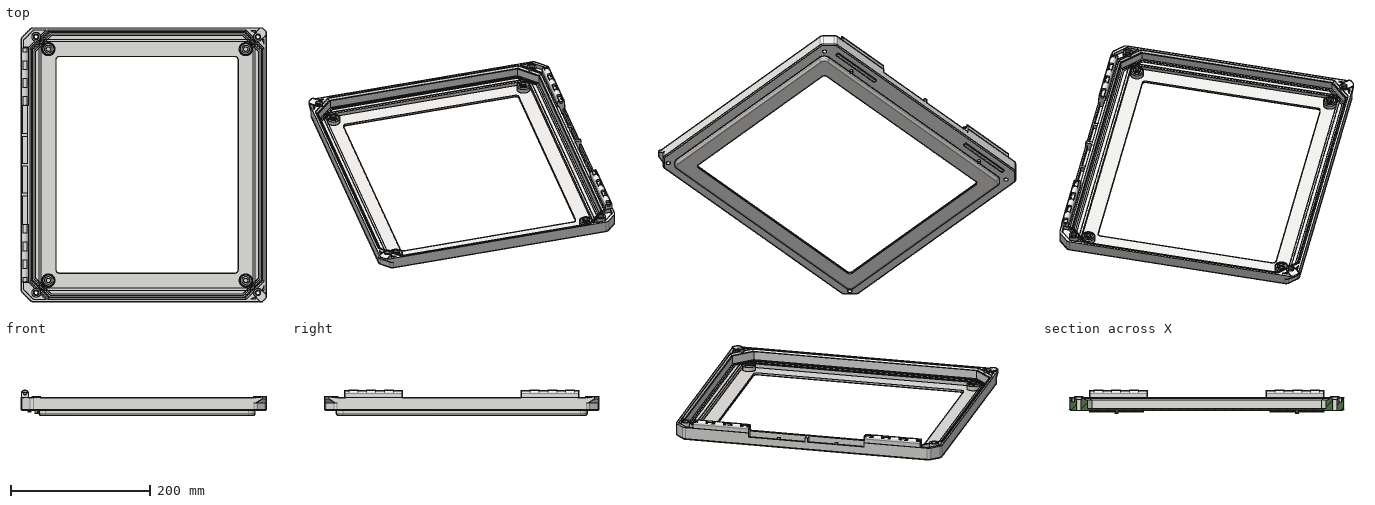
import cadquery as cq
import math

length_x = 352.0
length_y = 393.5
total_height = 36.5
rim_top = 25.5
rim_bottom = 7.0
boss_top = 27.0

hinge_strip = 9.5
left_x = -length_x / 2
right_x = length_x / 2
frame_left = left_x + hinge_strip
frame_x = (frame_left + right_x) / 2
frame_width = right_x - frame_left

corner_cut = 15.0
corner_radius = 6.5
bottom_bevel = 1.5

skirt = 3.0
recess_corner_cut = 26.5
recess_floor = 22.5
recess_bevel = 2.5
wall_setback = 6.5
wall_corner_cut = 25.0
cut_per_offset = 2 - math.sqrt(2)
foot_top = 10.2
foot_step_height = 0.5
foot_step_width = 2.5
foot_steps = 2
ledge_top = foot_top - foot_steps * foot_step_height

pan_width = 310.0
pan_length = 360.5
pan_radius = 9.5
pan_wall = 3.0
pan_fillet = 3.0
pan_step_top = 8.5
panel_top = 3.0
window_width = 261.2
window_length = 310.8
window_radius = 4.7

panel_boss_x = 141.5
panel_boss_y = 166.0
panel_boss_base_diameter = 19.0
panel_boss_base_top = 11.0
panel_boss_base_bevel = 1.5
panel_boss_diameter = 11.0
panel_boss_top = 13.0
panel_boss_hole = 6.3
panel_boss_hole_depth = 4.0

screw_inset_x = 12.0
screw_inset_y = 13.0
screw_x = right_x - screw_inset_x
screw_left_x = frame_x - (screw_x - frame_x)
screw_y = length_y / 2 - screw_inset_y
screw_boss_diameter = 12.5
screw_hole = 6.0
screw_counterbore = 8.0
screw_counterbore_depth = 4.0

pocket_floor = 19.5
pocket_end_y = 168.8
pocket_wall_setback = 1.5

lug_cut = 6.0
lug_flare_bottom = 18.0
lug_flare_top = 24.0
lug_width = 13.5
dimple_depth = 2.0
dimple_near = 3.5
dimple_far = 10.2
dimple_low = 6.0
dimple_high = 9.0

hinge_start = 85.5
hinge_end = 168.0
pin_diameter = 3.45
hinge_width = 10.2
hinge_radius = hinge_width / 2
hinge_inset = 0.5
hinge_left = left_x + hinge_inset
hinge_x = hinge_left + hinge_radius
pin_z = total_height - hinge_radius
notch_width = 5.5
notch_length = 12.5
notch_pitch = 25.5
notch_count = 4
notch_floor = 33.5

trough_floor = 11.8
trough_wall = 2.5
trough_wall_top = 19.3
trough_width = 6.5
rib_thickness = 4.0

strip_x = -166.5
strip_width = 4.7
strip_start = 90.5
strip_bottom = 5.0
peg_x = -154.2
peg_diameter = 4.5
peg_bottom = 3.0
peg_y = (strip_start + hinge_end) / 2


def block(x0, x1, y0, y1, z0, z1):
    size = (x1 - x0, y1 - y0, z1 - z0)
    return cq.Workplane("XY").box(*size, centered=False).translate((x0, y0, z0))


def cylinder(x, y, diameter, z0, z1):
    return cq.Workplane("XY", origin=(x, y, z0)).circle(diameter / 2).extrude(z1 - z0)


def octagon(width, length, cut, z0, z1, x=frame_x):
    prism = cq.Workplane("XY", origin=(x, 0, z0)).rect(width, length).extrude(z1 - z0)
    return prism.edges("|Z").chamfer(cut)


def frame_octagon(setback, cut, z0, z1):
    return octagon(frame_width - 2 * setback, length_y - 2 * setback, cut, z0, z1)


def rounded_plate(width, length, radius, z0, z1):
    plate = cq.Workplane("XY", origin=(frame_x, 0, z0)).rect(width, length).extrude(z1 - z0)
    return plate.edges("|Z").fillet(radius)


def mirrored_y(shape):
    return shape.union(shape.mirror("XZ"))


def make_rim():
    rim = octagon(length_x, length_y, corner_cut, rim_bottom, rim_top, x=0)
    rim = rim.edges("|Z").fillet(corner_radius).faces("<Z").chamfer(bottom_bevel)
    recess = frame_octagon(skirt, recess_corner_cut, recess_floor, rim_top)
    rim = rim.cut(recess.faces("<Z").chamfer(recess_bevel))
    for i in range(foot_steps + 1):
        shift = i * foot_step_width
        floor = foot_top - i * foot_step_height
        cut = wall_corner_cut - cut_per_offset * shift
        rim = rim.cut(frame_octagon(wall_setback + shift, cut, floor, rim_top))
    return rim


def make_pan():
    pan = rounded_plate(pan_width, pan_length, pan_radius, 0, pan_step_top)
    return pan.faces("<Z").edges().fillet(pan_fillet)


def make_pan_recess():
    outer = rounded_plate(pan_width, pan_length, pan_radius, pan_step_top, ledge_top)
    inner = rounded_plate(
        pan_width - 2 * pan_wall, pan_length - 2 * pan_wall, pan_radius - pan_wall, panel_top, ledge_top
    )
    window = rounded_plate(window_width, window_length, window_radius, 0, ledge_top)
    return outer.union(inner).union(window)


def add_panel_bosses(part):
    hole_bottom = panel_boss_top - panel_boss_hole_depth
    for x in (frame_x - panel_boss_x, frame_x + panel_boss_x):
        for y in (-panel_boss_y, panel_boss_y):
            base = cylinder(x, y, panel_boss_base_diameter, panel_top / 2, panel_boss_base_top)
            part = part.union(base.faces(">Z").chamfer(panel_boss_base_bevel))
            part = part.union(cylinder(x, y, panel_boss_diameter, panel_top, panel_boss_top))
            part = part.cut(cylinder(x, y, panel_boss_hole, hole_bottom, panel_boss_top))
    return part


def make_left_pocket():
    inside = octagon(length_x - 2 * skirt, length_y - 2 * skirt, corner_cut, pocket_floor, rim_top, x=0)
    corner = block(left_x, 0, pocket_end_y, length_y / 2, pocket_floor, rim_top)
    wall = frame_octagon(pocket_wall_setback, recess_corner_cut, pocket_floor, rim_top)
    return inside.intersect(corner).cut(wall)


def corner_points(cut):
    inner = corner_cut + corner_radius
    half_y = length_y / 2
    return [
        (right_x - inner, half_y),
        (right_x - cut, half_y),
        (right_x, half_y - cut),
        (right_x, half_y - inner),
    ]


def corner_prism(z0, z1):
    return cq.Workplane("XY", origin=(0, 0, z0)).polyline(corner_points(lug_cut)).close().extrude(z1 - z0)


def make_lug():
    flare = (
        cq.Workplane("XY", origin=(0, 0, lug_flare_bottom))
        .polyline(corner_points(corner_cut)).close()
        .workplane(offset=lug_flare_top - lug_flare_bottom)
        .polyline(corner_points(lug_cut)).close()
        .loft(ruled=True)
    )
    plate = corner_prism(lug_flare_top, rim_top)
    bar = cq.Workplane("XY").rect(4 * lug_width, lug_width).extrude(total_height)
    bar = bar.rotate((0, 0, 0), (0, 0, 1), 45).translate((screw_x, screw_y, 0))
    pad = corner_prism(rim_top, boss_top).intersect(bar)
    return flare.union(plate).union(pad)


def make_lug_dimples():
    points = [(-dimple_far, dimple_high), (-dimple_near, dimple_high), (-dimple_near, dimple_low)]
    swapped = [(y, x) for x, y in points]
    base = cq.Workplane("XY", origin=(screw_x, screw_y, rim_top - dimple_depth))
    dimples = base.polyline(points).close().extrude(dimple_depth)
    return dimples.union(base.polyline(swapped).close().extrude(dimple_depth))


def add_corner_screws(part):
    counterbore_floor = boss_top - screw_counterbore_depth
    for x in (screw_left_x, screw_x):
        for y in (-screw_y, screw_y):
            part = part.union(cylinder(x, y, screw_boss_diameter, pocket_floor, boss_top))
            part = part.cut(cylinder(x, y, screw_hole, 0, boss_top))
            part = part.cut(cylinder(x, y, screw_counterbore, counterbore_floor, boss_top))
    return part


def make_hinge():
    span = hinge_end - hinge_start
    barrel = (
        cq.Workplane("XZ", origin=(hinge_x, hinge_end, pin_z)).circle(hinge_radius).extrude(span)
    )
    web = block(hinge_left, hinge_left + hinge_width, hinge_start, hinge_end, trough_floor, pin_z)
    hinge = barrel.union(web)
    for i in range(notch_count):
        start = hinge_start + i * notch_pitch
        end = min(start + notch_length, hinge_end)
        hinge = hinge.cut(
            block(hinge_x - notch_width / 2, hinge_x + notch_width / 2, start, end, notch_floor, total_height)
        )
    pin_hole = cq.Workplane("XZ", origin=(hinge_x, hinge_end, pin_z)).circle(pin_diameter / 2).extrude(span)
    return hinge.cut(pin_hole)


def make_trough():
    inner_x = left_x + trough_wall
    trough = block(inner_x, inner_x + trough_width, -hinge_start, hinge_start, trough_floor, rim_top)
    wall_gap = block(left_x, inner_x, -hinge_start, hinge_start, trough_wall_top, rim_top)
    trough = trough.union(wall_gap)
    half_rib = rib_thickness / 2
    ribs = block(left_x, inner_x + trough_width, -half_rib, half_rib, trough_floor, rim_top)
    for y in (-hinge_start / 2, hinge_start / 2):
        rib = block(left_x, inner_x + trough_width, y - half_rib, y + half_rib, trough_floor, trough_wall_top)
        ribs = ribs.union(rib)
    return trough.cut(ribs)


def make_underside_details():
    strip = block(
        strip_x, strip_x + strip_width,
        strip_start, hinge_end,
        strip_bottom, ledge_top,
    )
    return strip.union(cylinder(peg_x, peg_y, peg_diameter, peg_bottom, ledge_top))


part = make_rim().union(make_pan()).cut(make_pan_recess())
part = add_panel_bosses(part)
part = part.cut(mirrored_y(make_left_pocket()))
part = part.union(mirrored_y(make_lug()))
part = part.cut(mirrored_y(make_lug_dimples()))
part = add_corner_screws(part)
part = part.union(mirrored_y(make_hinge()))
part = part.cut(make_trough())
result = part.union(mirrored_y(make_underside_details()))